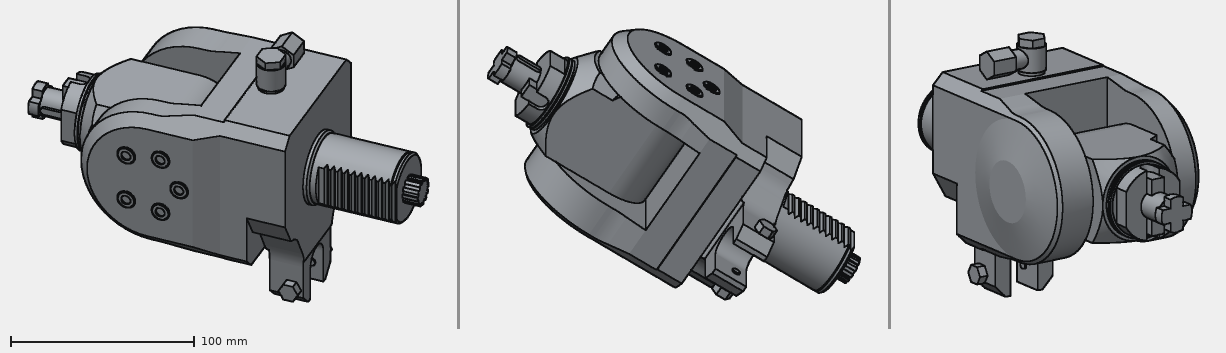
import cadquery as cq
import math


OVERALL_LENGTH = 230.0

BODY_END_X = 80.2
BODY_HALF_WIDTH = 46.2
BODY_HALF_HEIGHT = 46.0
STEP_X = 41.5
STEP_HALF_HEIGHT = 45.0
FORK_RADIUS = 41.5
FORK_FLAT_X = 3.2
FORK_SLOPE_X = 11.5
FORK_SLOPE_Z = 42.8
FRONT_FACE_Y = -50.3
FRONT_FACE_END_X = 27.1
CHAMFER_SUM = 85.8

GAP_END_X = 24.0
GAP_MIN_Y = -30.5
GAP_MAX_Y = 24.0

COVER_TOP_Y = 52.0
COVER_TOP_RADIUS = 17.5

SCREW_CIRCLE_RADIUS = 19.0
SCREW_ANGLES = (-130, -65, 0, 65, 130)
SCREW_RADIUS = 4.8
SCREW_PROUD = 0.5
SCREW_RING_WIDTH = 0.5
SCREW_RING_DEPTH = 0.7
SOCKET_RADIUS = 2.8
SOCKET_DEPTH = 1.0

HEAD_FRONT_X = -50.8
HEAD_HALF_HEIGHT = 24.0
HEAD_CHAMFER_WIDTH = 7.0
HEAD_CHAMFER_HEIGHT = 9.2
HEAD_CHAMFER_TOP_END_X = -28.0
HEAD_CHAMFER_SIDE_END_X = -24.0

NUT_REAR_X = -55.2
NUT_FRONT_X = -64.5
NUT_RADIUS = 20.5
NUT_HALF_FLATS = 17.7
RING_RADIUS = 21.8
RING_WIDTH = 1.5
RING_GAP = 0.5
DOG_FRONT_X = -69.5
DOG_WIDTH = 8.3
DOG_TOP_RADIUS = 16.0
ARBOR_FRONT_X = -81.4
ARBOR_RADIUS = 8.0
FEATHER_START_X = -80.5
FEATHER_END_X = -65.0
FEATHER_WIDTH = 4.1
FEATHER_PROUD = 1.4
TIP_X = -87.4
TIP_RADIUS = 10.1
TIP_ARM_WIDTH = 8.3

COLLAR_END_X = 83.7
COLLAR_RADIUS = 21.2
COLLAR_CHAMFER = 1.4
SHANK_END_X = 133.5
SHANK_RADIUS = 20.0
SHANK_CHAMFER = 1.1
RELIEF_X = 130.1
RELIEF_WIDTH = 0.5
RELIEF_DEPTH = 0.5
RACK_START_X = 87.4
RACK_FLAT_Y = -16.0
RACK_FIRST_X = 92.0
RACK_SPAN = 40.2
RACK_COUNT = 11
RACK_PITCH = RACK_SPAN / (RACK_COUNT - 1)
RACK_DEPTH = 1.5
RACK_HALF_MOUTH = 1.4
SPLINE_END_X = TIP_X + OVERALL_LENGTH
SPLINE_RADIUS = 8.0
SPLINE_ROOT_RADIUS = 6.7
SPLINE_TEETH = 12
SPLINE_SLOT_WIDTH = 2.0

ELBOW_X = 52.5
ELBOW_RADIUS = 8.0
ELBOW_NECK_RADIUS = 7.4
ELBOW_NECK_TOP_Z = 47.8
ELBOW_BODY_TOP_Z = 61.8
ELBOW_TOP_Z = 66.5
PIPE_Z = 55.0
PIPE_RADIUS = 5.5
PIPE_END_Y = 15.0
PIPE_NUT_END_Y = 29.7
FITTING_HEX = 16.0

NOTCH_START_X = 57.5
NOTCH_TOP_Z = -10.8
NOTCH_LEDGE = (-38.0, -25.3)
NOTCH_ARC_START = (-34.3, -26.7)
NOTCH_ARC_END = (-27.1, -33.8)
NECK_HALF_WIDTH = 21.4
NECK_TOP_Z = -44.4
NECK_BOTTOM_Z = -54.7
BRACKET_START_X = 59.5
BRACKET_END_X = 79.5
BRACKET_HALF_WIDTH = 19.0
BRACKET_BOTTOM_Z = -82.0
BRACKET_CHAMFER = 7.0
LIP_BOTTOM_Z = -50.5
SLOT_HALF_WIDTH = 9.0
SLOT_TOP_Z = -52.6
BOLT_X = 72.6
BOLT_Z = -70.5
BOLT_HEX = 11.5
BOLT_HEAD_HEIGHT = 5.0
BOLT_TIP_RADIUS = 2.3
BOLT_TIP_PROUD = 1.0


def box(x_range, y_range, z_range):
    """Axis-aligned block from three (low, high) ranges."""
    size = [high - low for low, high in (x_range, y_range, z_range)]
    corner = (x_range[0], y_range[0], z_range[0])
    return cq.Workplane("XY").box(*size, centered=False).translate(corner)


def x_rod(radius, start_x, end_x):
    """Cylinder on the spindle axis."""
    return cq.Workplane("YZ", origin=(start_x, 0, 0)).circle(radius).extrude(end_x - start_x)


def y_plane(x, y, z):
    """Sketch plane whose extrusions run towards +Y; its second sketch axis points to -Z."""
    return cq.Workplane(cq.Plane(origin=(x, y, z), xDir=(1, 0, 0), normal=(0, 1, 0)))


def pivot_revolve(outline):
    """Solid of revolution about the pivot axis from (radius, y) points."""
    return cq.Workplane("XY").polyline(outline).close().revolve(360, (0, 0, 0), (0, 1, 0))


def make_body():
    half_side = (
        cq.Workplane("XZ", origin=(0, COVER_TOP_Y, 0))
        .moveTo(-FORK_RADIUS, 0)
        .radiusArc((0, FORK_RADIUS), FORK_RADIUS)
        .lineTo(FORK_FLAT_X, FORK_RADIUS)
        .tangentArcPoint((FORK_SLOPE_X, FORK_SLOPE_Z), relative=False)
        .lineTo(GAP_END_X, STEP_HALF_HEIGHT)
        .lineTo(STEP_X, STEP_HALF_HEIGHT)
        .lineTo(STEP_X, BODY_HALF_HEIGHT)
        .lineTo(BODY_END_X, BODY_HALF_HEIGHT)
        .lineTo(BODY_END_X, 0)
        .close()
        .extrude(2 * COVER_TOP_Y)
    )
    side = half_side.union(half_side.mirror("XY"))

    plan = (
        cq.Workplane("XY", origin=(0, 0, -BODY_HALF_HEIGHT))
        .polyline([
            (-FORK_RADIUS, FRONT_FACE_Y),
            (FRONT_FACE_END_X, FRONT_FACE_Y),
            (STEP_X, -BODY_HALF_WIDTH),
            (BODY_END_X, -BODY_HALF_WIDTH),
            (BODY_END_X, BODY_HALF_WIDTH),
            (-FORK_RADIUS, BODY_HALF_WIDTH),
        ])
        .close()
        .extrude(2 * BODY_HALF_HEIGHT)
    )

    straight_bevel = (
        cq.Workplane("YZ")
        .polyline([(CHAMFER_SUM, 0), (0, CHAMFER_SUM), (-CHAMFER_SUM, 0), (0, -CHAMFER_SUM)])
        .close()
        .extrude(BODY_END_X)
    )
    nose_bevel = pivot_revolve([(0, -CHAMFER_SUM), (CHAMFER_SUM, 0), (0, CHAMFER_SUM)])
    nose_bevel = nose_bevel.intersect(
        box((-CHAMFER_SUM, 0), (-CHAMFER_SUM, CHAMFER_SUM), (-CHAMFER_SUM, CHAMFER_SUM))
    )
    body = side.intersect(plan).intersect(straight_bevel.union(nose_bevel))

    gap = box(
        (-FORK_RADIUS, GAP_END_X),
        (GAP_MIN_Y, GAP_MAX_Y),
        (-BODY_HALF_HEIGHT, BODY_HALF_HEIGHT),
    )
    cover = pivot_revolve([
        (0, GAP_MAX_Y),
        (CHAMFER_SUM - BODY_HALF_WIDTH, GAP_MAX_Y),
        (CHAMFER_SUM - BODY_HALF_WIDTH, BODY_HALF_WIDTH),
        (COVER_TOP_RADIUS, COVER_TOP_Y),
        (0, COVER_TOP_Y),
    ])
    return body.cut(gap).union(cover)


def cut_bracket_notches(body):
    """Undercut both lower rear corners so the body narrows to the bracket neck."""
    notch = (
        cq.Workplane("YZ", origin=(NOTCH_START_X, 0, 0))
        .moveTo(-BODY_HALF_WIDTH, NOTCH_TOP_Z)
        .lineTo(*NOTCH_LEDGE)
        .lineTo(*NOTCH_ARC_START)
        .tangentArcPoint(NOTCH_ARC_END, relative=False)
        .lineTo(-NECK_HALF_WIDTH, NECK_TOP_Z)
        .lineTo(-BRACKET_HALF_WIDTH, NECK_TOP_Z)
        .lineTo(-BRACKET_HALF_WIDTH, -BODY_HALF_HEIGHT)
        .lineTo(-BODY_HALF_WIDTH, -BODY_HALF_HEIGHT)
        .close()
        .extrude(BODY_END_X - NOTCH_START_X)
    )
    return body.cut(notch).cut(notch.mirror("XZ"))


def add_screws(body):
    for angle in SCREW_ANGLES:
        x = SCREW_CIRCLE_RADIUS * math.cos(math.radians(angle))
        z = SCREW_CIRCLE_RADIUS * math.sin(math.radians(angle))
        top_y = FRONT_FACE_Y - SCREW_PROUD
        ring_radius = SCREW_RADIUS + SCREW_RING_WIDTH
        ring = y_plane(x, FRONT_FACE_Y, z).circle(ring_radius).extrude(SCREW_RING_DEPTH)
        head = y_plane(x, top_y, z).circle(SCREW_RADIUS).extrude(SCREW_PROUD + SCREW_RING_DEPTH)
        socket = y_plane(x, top_y, z).circle(SOCKET_RADIUS).extrude(SOCKET_DEPTH)
        body = body.cut(ring).union(head).cut(socket)
    return body


def make_head():
    width = GAP_MAX_Y - GAP_MIN_Y
    block = box(
        (HEAD_FRONT_X, 0), (GAP_MIN_Y, GAP_MAX_Y), (-HEAD_HALF_HEIGHT, HEAD_HALF_HEIGHT)
    )
    rear = y_plane(0, GAP_MIN_Y, 0).circle(HEAD_HALF_HEIGHT).extrude(width)

    cone_length = GAP_END_X - HEAD_FRONT_X
    cone = (
        cq.Workplane("XY")
        .polyline([
            (HEAD_FRONT_X, 0),
            (HEAD_FRONT_X, HEAD_HALF_HEIGHT),
            (GAP_END_X, HEAD_HALF_HEIGHT + cone_length),
            (GAP_END_X, 0),
        ])
        .close()
        .revolve(360, (0, 0, 0), (1, 0, 0))
    )
    head = block.union(rear).intersect(cone)

    bevel = (
        cq.Workplane("YZ", origin=(HEAD_FRONT_X, 0, 0))
        .polyline([
            (GAP_MIN_Y, HEAD_HALF_HEIGHT),
            (GAP_MIN_Y + HEAD_CHAMFER_WIDTH, HEAD_HALF_HEIGHT),
            (GAP_MIN_Y, HEAD_HALF_HEIGHT - HEAD_CHAMFER_HEIGHT),
        ])
        .close()
        .extrude(-HEAD_FRONT_X)
    )
    chamfer_plan = (
        cq.Workplane("XY")
        .polyline([
            (HEAD_FRONT_X, GAP_MIN_Y),
            (HEAD_CHAMFER_SIDE_END_X, GAP_MIN_Y),
            (HEAD_CHAMFER_TOP_END_X, GAP_MIN_Y + HEAD_CHAMFER_WIDTH),
            (HEAD_FRONT_X, GAP_MIN_Y + HEAD_CHAMFER_WIDTH),
        ])
        .close()
        .extrude(HEAD_HALF_HEIGHT)
    )
    bevel = bevel.intersect(chamfer_plan)
    return head.cut(bevel).cut(bevel.mirror("XY"))


def make_spindle():
    spindle = x_rod(NUT_RADIUS, NUT_REAR_X, HEAD_FRONT_X)
    for index in range(2):
        ring_end_x = HEAD_FRONT_X - RING_GAP - index * (RING_WIDTH + RING_GAP)
        spindle = spindle.union(x_rod(RING_RADIUS, ring_end_x - RING_WIDTH, ring_end_x))

    flats = box(
        (NUT_FRONT_X, NUT_REAR_X), (-NUT_HALF_FLATS, NUT_HALF_FLATS), (-NUT_RADIUS, NUT_RADIUS)
    )
    nut = x_rod(NUT_RADIUS, NUT_FRONT_X, NUT_REAR_X).intersect(flats)
    spindle = spindle.union(nut)

    slot_round_x = NUT_REAR_X - DOG_WIDTH / 2
    for side in (-1, 1):
        slot = (
            cq.Workplane("XY", origin=(0, 0, side * DOG_TOP_RADIUS))
            .moveTo(NUT_FRONT_X, -DOG_WIDTH / 2)
            .lineTo(slot_round_x, -DOG_WIDTH / 2)
            .threePointArc((NUT_REAR_X, 0), (slot_round_x, DOG_WIDTH / 2))
            .lineTo(NUT_FRONT_X, DOG_WIDTH / 2)
            .close()
            .extrude(side * (NUT_RADIUS - DOG_TOP_RADIUS))
        )
        spindle = spindle.cut(slot)
    dog_blade = box(
        (DOG_FRONT_X, NUT_FRONT_X), (-DOG_WIDTH / 2, DOG_WIDTH / 2), (-DOG_TOP_RADIUS, DOG_TOP_RADIUS)
    )
    arbor = x_rod(ARBOR_RADIUS, ARBOR_FRONT_X, NUT_FRONT_X)
    feather_length = FEATHER_END_X - FEATHER_START_X
    feather_height = ARBOR_RADIUS + FEATHER_PROUD
    feather = (
        y_plane((FEATHER_START_X + FEATHER_END_X) / 2, -feather_height, 0)
        .slot2D(feather_length, FEATHER_WIDTH)
        .extrude(feather_height)
    )

    tip_range = (TIP_X, ARBOR_FRONT_X)
    half_arm = (-TIP_ARM_WIDTH / 2, TIP_ARM_WIDTH / 2)
    reach = (-TIP_RADIUS, TIP_RADIUS)
    cross = box(tip_range, half_arm, reach).union(box(tip_range, reach, half_arm))
    tip = x_rod(TIP_RADIUS, *tip_range).intersect(cross)
    return spindle.union(dog_blade).union(arbor).union(feather).union(tip)


def make_shank():
    collar = x_rod(COLLAR_RADIUS, BODY_END_X, COLLAR_END_X).faces(">X").chamfer(COLLAR_CHAMFER)
    shank = x_rod(SHANK_RADIUS, COLLAR_END_X, SHANK_END_X).faces(">X").chamfer(SHANK_CHAMFER)
    groove = x_rod(SHANK_RADIUS, RELIEF_X, RELIEF_X + RELIEF_WIDTH)
    groove = groove.cut(x_rod(SHANK_RADIUS - RELIEF_DEPTH, RELIEF_X, RELIEF_X + RELIEF_WIDTH))
    flat = box(
        (RACK_START_X, SHANK_END_X), (-SHANK_RADIUS, RACK_FLAT_Y), (-SHANK_RADIUS, SHANK_RADIUS)
    )
    shank = shank.cut(groove).cut(flat)
    for index in range(RACK_COUNT):
        x = RACK_FIRST_X + index * RACK_PITCH
        tooth_gap = (
            cq.Workplane("XY", origin=(0, 0, -SHANK_RADIUS))
            .polyline([
                (x - RACK_HALF_MOUTH, RACK_FLAT_Y),
                (x + RACK_HALF_MOUTH, RACK_FLAT_Y),
                (x, RACK_FLAT_Y + RACK_DEPTH),
            ])
            .close()
            .extrude(2 * SHANK_RADIUS)
        )
        shank = shank.cut(tooth_gap)

    spline = x_rod(SPLINE_RADIUS, SHANK_END_X, SPLINE_END_X)
    slot = box(
        (SHANK_END_X, SPLINE_END_X),
        (-SPLINE_SLOT_WIDTH / 2, SPLINE_SLOT_WIDTH / 2),
        (SPLINE_ROOT_RADIUS, 2 * SPLINE_RADIUS),
    )
    for index in range(SPLINE_TEETH):
        angle = (index + 0.5) * 360 / SPLINE_TEETH
        spline = spline.cut(slot.rotate((0, 0, 0), (1, 0, 0), angle))
    return collar.union(shank).union(spline)


def make_elbow():
    post = (
        cq.Workplane("XY", origin=(ELBOW_X, 0, BODY_HALF_HEIGHT))
        .circle(ELBOW_NECK_RADIUS)
        .extrude(ELBOW_NECK_TOP_Z - BODY_HALF_HEIGHT)
        .faces(">Z").workplane()
        .circle(ELBOW_RADIUS)
        .extrude(ELBOW_BODY_TOP_Z - ELBOW_NECK_TOP_Z)
    )
    cap = (
        cq.Workplane("XY", origin=(ELBOW_X, 0, ELBOW_BODY_TOP_Z))
        .transformed(rotate=(0, 0, 90))
        .polygon(6, FITTING_HEX)
        .extrude(ELBOW_TOP_Z - ELBOW_BODY_TOP_Z)
    )
    pipe = y_plane(ELBOW_X, 0, PIPE_Z).circle(PIPE_RADIUS).extrude(PIPE_END_Y)
    nut = (
        y_plane(ELBOW_X, PIPE_END_Y, PIPE_Z)
        .transformed(rotate=(0, 0, 90))
        .polygon(6, FITTING_HEX)
        .extrude(PIPE_NUT_END_Y - PIPE_END_Y)
    )
    return post.union(cap).union(pipe).union(nut)


def make_bracket():
    flare_drop = NECK_TOP_Z - NECK_BOTTOM_Z
    flare_width = NECK_HALF_WIDTH - BRACKET_HALF_WIDTH
    flare_radius = (flare_drop**2 + flare_width**2) / (2 * flare_width)
    chamfer_z = BRACKET_BOTTOM_Z + BRACKET_CHAMFER
    half_plate = (
        cq.Workplane("YZ", origin=(NOTCH_START_X, 0, 0))
        .moveTo(0, NECK_TOP_Z)
        .lineTo(0, BRACKET_BOTTOM_Z)
        .lineTo(BRACKET_HALF_WIDTH - BRACKET_CHAMFER, BRACKET_BOTTOM_Z)
        .lineTo(BRACKET_HALF_WIDTH, chamfer_z)
        .lineTo(BRACKET_HALF_WIDTH, NECK_BOTTOM_Z)
        .radiusArc((NECK_HALF_WIDTH, NECK_TOP_Z), flare_radius)
        .close()
        .extrude(BODY_END_X - NOTCH_START_X)
    )
    plate = half_plate.union(half_plate.mirror("XZ"))

    step = BRACKET_START_X - NOTCH_START_X
    front_relief = (
        y_plane(0, -NECK_HALF_WIDTH, 0)
        .moveTo(NOTCH_START_X, BODY_HALF_HEIGHT)
        .radiusArc((BRACKET_START_X, BODY_HALF_HEIGHT + step), step)
        .lineTo(BRACKET_START_X, -BRACKET_BOTTOM_Z)
        .lineTo(NOTCH_START_X, -BRACKET_BOTTOM_Z)
        .close()
        .extrude(2 * NECK_HALF_WIDTH)
    )
    rear_relief = box(
        (BRACKET_END_X, BODY_END_X),
        (-NECK_HALF_WIDTH, NECK_HALF_WIDTH),
        (BRACKET_BOTTOM_Z, LIP_BOTTOM_Z),
    )
    plate = plate.cut(front_relief).cut(rear_relief)

    bracket_x = (BRACKET_START_X, BRACKET_END_X)
    slot_center_z = SLOT_TOP_Z - SLOT_HALF_WIDTH
    slot = box(bracket_x, (-SLOT_HALF_WIDTH, SLOT_HALF_WIDTH), (BRACKET_BOTTOM_Z, slot_center_z))
    slot_end = (
        cq.Workplane("YZ", origin=(BRACKET_START_X, 0, slot_center_z))
        .circle(SLOT_HALF_WIDTH)
        .extrude(BRACKET_END_X - BRACKET_START_X)
    )
    bracket = plate.cut(slot).cut(slot_end)

    head_y = -BRACKET_HALF_WIDTH - BOLT_HEAD_HEIGHT
    bolt_head = y_plane(BOLT_X, head_y, BOLT_Z).polygon(6, BOLT_HEX).extrude(BOLT_HEAD_HEIGHT)
    tip_length = BRACKET_HALF_WIDTH - SLOT_HALF_WIDTH + BOLT_TIP_PROUD
    bolt_tip = y_plane(BOLT_X, -BRACKET_HALF_WIDTH, BOLT_Z).circle(BOLT_TIP_RADIUS).extrude(tip_length)
    bolt = bolt_head.union(bolt_tip)
    return bracket.union(bolt).union(bolt.mirror("XZ"))


body = add_screws(cut_bracket_notches(make_body()))
result = (
    body.union(make_head())
    .union(make_spindle())
    .union(make_shank())
    .union(make_elbow())
    .union(make_bracket())
)